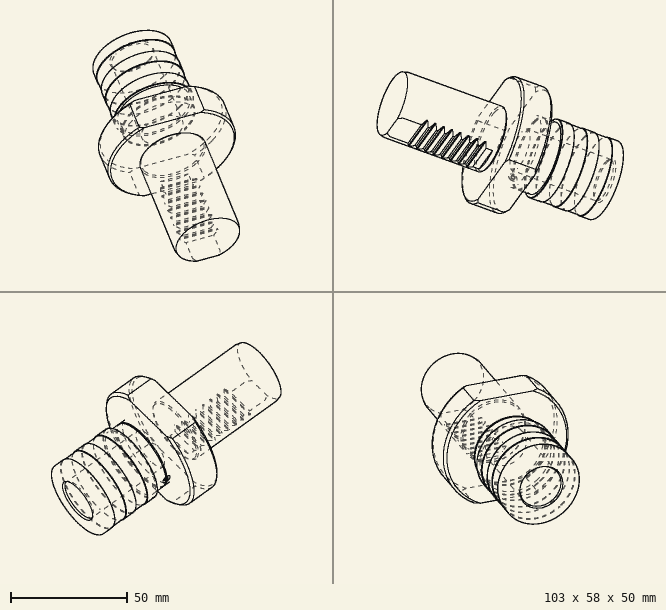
import cadquery as cq
import math

total_length = 103.0
flange_start = 40.0
flange_end = 55.0

band_radius = 36.0 / 2
recess_radius = 35.5 / 2
neck_radius = 33.0 / 2
mouth_fillet = 1.0
band_edge_chamfer = 0.2
first_band_end = 5.9
recess_length = 6.2
band_length = 5.9
later_band_count = 2

nipple_x = 36.3
groove_width = 0.6
groove_depth = 0.1
neck_fillet = 0.9

flange_radius = 58.0 / 2
flange_height = 50.0
flange_front_chamfer = 1.2
flange_back_chamfer = 0.9

shank_radius = 30.0 / 2
shank_end_chamfer_length = 2.1
shank_end_chamfer_depth = 0.5
shank_root_chamfer = 0.6
shank_flat_start = 57.8
shank_flat_drop = 13.6

notch_count = 8
notch_pitch = 4.0
first_notch_x = 62.4
notch_depth = 1.3
notch_mouth_width = 3.2
notch_root_width = 0.4

bore_radius = 19.0 / 2
bore_chamfer_length = 0.9
bore_chamfer_depth = 0.5
bore_depth = 41.2

nipple_radius = 4.0 / 2
nipple_hole_radius = 1.9 / 2
nipple_hole_depth = 0.3
nipple_length = 4.1


def revolve_about_x(points):
    """Revolve a closed (x, radius) outline about the X axis."""
    outline = cq.Workplane("XY").polyline(points).close()
    return outline.revolve(360, (0, 0, 0), (1, 0, 0))


def make_band(start, end):
    """Raised guide band with a small chamfer on both edges."""
    return revolve_about_x([
        (start, 0),
        (start, band_radius - band_edge_chamfer),
        (start + band_edge_chamfer, band_radius),
        (end - band_edge_chamfer, band_radius),
        (end, band_radius - band_edge_chamfer),
        (end, 0),
    ])


def make_socket():
    """Socket with a rounded mouth edge, raised bands and shallow recesses between them."""
    socket = cq.Workplane("YZ").circle(band_radius).extrude(first_band_end)
    socket = socket.faces("<X").edges().fillet(mouth_fillet)
    socket = socket.faces(">X").edges().chamfer(band_edge_chamfer)
    band_end = first_band_end
    for _ in range(later_band_count):
        band_start = band_end + recess_length
        recess = cq.Workplane("YZ", origin=(band_end, 0, 0)).circle(recess_radius).extrude(recess_length)
        band_end = band_start + band_length
        socket = socket.union(recess).union(make_band(band_start, band_end))
    return socket


def make_neck():
    """Grooved neck that flares into the flange through a concave fillet."""
    groove_start = nipple_x - groove_width / 2
    groove_end = nipple_x + groove_width / 2
    fillet_start = flange_start - neck_fillet
    fillet_middle = (
        flange_start - neck_fillet * (1 - math.sin(math.pi / 4)),
        neck_radius + neck_fillet * (1 - math.cos(math.pi / 4)),
    )
    outline = (
        cq.Workplane("XY")
        .moveTo(first_band_end, 0)
        .lineTo(first_band_end, neck_radius)
        .lineTo(groove_start, neck_radius)
        .lineTo(groove_start, neck_radius - groove_depth)
        .lineTo(groove_end, neck_radius - groove_depth)
        .lineTo(groove_end, neck_radius)
        .lineTo(fillet_start, neck_radius)
        .threePointArc(fillet_middle, (flange_start, neck_radius + neck_fillet))
        .lineTo(flange_start, 0)
        .close()
    )
    return outline.revolve(360, (0, 0, 0), (1, 0, 0))


def make_flange():
    """Chamfered disc with two flats, above and below the axis."""
    disc = revolve_about_x([
        (flange_start, 0),
        (flange_start, flange_radius - flange_front_chamfer),
        (flange_start + flange_front_chamfer, flange_radius),
        (flange_end - flange_back_chamfer, flange_radius),
        (flange_end, flange_radius - flange_back_chamfer),
        (flange_end, 0),
    ])
    slab = cq.Workplane("XY").box(2 * total_length, 2 * flange_radius, flange_height)
    return disc.intersect(slab)


def make_shank():
    """Round shank with a long end chamfer and a short chamfer at its root."""
    return revolve_about_x([
        (flange_end, 0),
        (flange_end, shank_radius - shank_root_chamfer),
        (flange_end + shank_root_chamfer, shank_radius),
        (total_length - shank_end_chamfer_length, shank_radius),
        (total_length, shank_radius - shank_end_chamfer_depth),
        (total_length, 0),
    ])


def make_toothed_flat_cutter():
    """Material below the shank flat, together with the notches between the teeth."""
    floor = -2 * shank_radius
    points = [(shank_flat_start, floor), (shank_flat_start, -shank_flat_drop)]
    for index in range(notch_count):
        x = first_notch_x + index * notch_pitch
        root = notch_depth - shank_flat_drop
        points.append((x - notch_mouth_width / 2, -shank_flat_drop))
        points.append((x - notch_root_width / 2, root))
        points.append((x + notch_root_width / 2, root))
        points.append((x + notch_mouth_width / 2, -shank_flat_drop))
    points += [(total_length, -shank_flat_drop), (total_length, floor)]
    return cq.Workplane("XZ").polyline(points).close().extrude(shank_radius, both=True)


def make_bore():
    """Blind bore with a chamfered mouth."""
    return revolve_about_x([
        (0, 0),
        (0, bore_radius + bore_chamfer_depth),
        (bore_chamfer_length, bore_radius),
        (bore_depth, bore_radius),
        (bore_depth, 0),
    ])


def make_nipple():
    """Flat-faced round nipple, flush with the neck, with a small blind hole."""
    face = cq.Workplane("XZ", origin=(nipple_x, -neck_radius, 0))
    body = face.circle(nipple_radius).extrude(-nipple_length)
    hole = face.circle(nipple_hole_radius).extrude(-nipple_hole_depth)
    return body.cut(hole), hole


nipple, nipple_hole = make_nipple()

result = make_socket().union(make_neck()).union(make_flange()).union(make_shank())
result = result.cut(make_toothed_flat_cutter()).cut(make_bore())
result = result.union(nipple).cut(nipple_hole)